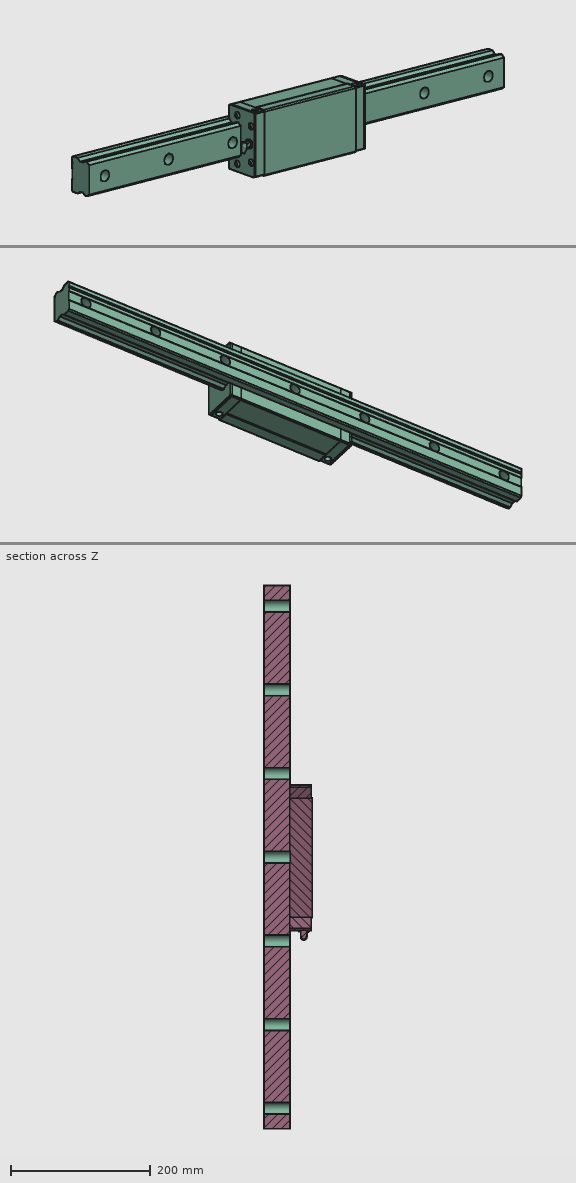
import cadquery as cq
import math

RAIL_LENGTH = 780.0
RAIL_HEIGHT = 38.0
RAIL_HALF_WIDTH = 54.0 / 2
RAIL_EDGE_CHAMFER = 2.1
SHOULDER_END = 12.5
GROOVE_START = 18.0
GROOVE_END = 24.0
GROOVE_INSET = 4.2
CROWN_START = 30.0
CROWN_INSET = 1.0
TOP_CORNER_RUN = 5.1
TOP_CORNER_INSET = 5.0
HOLE_DIAMETER = 16.0
HOLE_PITCH = 120.0
HOLE_COUNT = 7
FOOT_GROOVE_DEPTH = 1.0
MARK_GROOVE_WIDTH = 2.0
MARK_GROOVE_Z = 16.0

CARRIAGE_Y = -1.0
CARRIAGE_TOP = 70.0
SIDE_HALF_WIDTH = 97.5 / 2
SIDE_START = 14.0
FOOT_CHAMFER = 1.7
BLOCK_LENGTH = 171.5
BLOCK_HALF_WIDTH = 100.0 / 2
BLOCK_BAND_START = 50.0
BLOCK_TOP_CHAMFER = 2.0

PLATE_THICKNESS = 15.5
PLATE_TOP = 69.0
PLATE_TOP_CHAMFER = 1.5
SEAL_THICKNESS = 3.0

PORT_X = 58.0
PORT_DIAMETER = 9.0
PORT_DEPTH = 8.0
NIPPLE_FLANGE_DIAMETER = 14.0
NIPPLE_FLANGE_THICKNESS = 1.5
NIPPLE_NECK_DIAMETER = 9.0
NIPPLE_NECK_LENGTH = 8.5
NIPPLE_TILT = 75.0
NIPPLE_HEAD_DIAMETER = 8.5
NIPPLE_HEAD_LENGTH = 7.0
NIPPLE_TIP_DIAMETER = 4.2
NIPPLE_TIP_LENGTH = 8.5

SCREW_DIAMETER = 10.0
SCREW_HEIGHT = 2.0
SCREW_TOP_DIAMETER = 5.5
LOWER_SCREW_X, LOWER_SCREW_Z = 31.0, 37.0
UPPER_SCREW_X, UPPER_SCREW_Z = 62.0, 27.0

PLATE_START = BLOCK_LENGTH / 2
SEAL_START = PLATE_START + PLATE_THICKNESS
CARRIAGE_END = SEAL_START + SEAL_THICKNESS
FRONT_Y = CARRIAGE_Y - CARRIAGE_END
OUTWARD = cq.Vector(0, -1, 0)


def mirrored_prism(half_outline, y_start, y_end):
    """Extrude an (X, Z) half outline and its mirror image from y_start to y_end."""
    outline = half_outline + [(x, -z) for x, z in reversed(half_outline)]
    plane = cq.Workplane("XZ", origin=(0, y_start, 0))
    return plane.polyline(outline).close().extrude(y_start - y_end)


def rail_half_outline():
    return [
        (0, RAIL_HALF_WIDTH - RAIL_EDGE_CHAMFER),
        (RAIL_EDGE_CHAMFER, RAIL_HALF_WIDTH),
        (SHOULDER_END, RAIL_HALF_WIDTH),
        (GROOVE_START, RAIL_HALF_WIDTH - GROOVE_INSET),
        (GROOVE_END, RAIL_HALF_WIDTH - GROOVE_INSET),
        (CROWN_START, RAIL_HALF_WIDTH - CROWN_INSET),
        (RAIL_HEIGHT - TOP_CORNER_RUN, RAIL_HALF_WIDTH - CROWN_INSET),
        (RAIL_HEIGHT, RAIL_HALF_WIDTH - TOP_CORNER_INSET),
    ]


def rail_prism():
    return mirrored_prism(rail_half_outline(), -RAIL_LENGTH / 2, RAIL_LENGTH / 2)


def foot_groove(width, z):
    """Shallow full-length groove in the mounting face."""
    return cq.Workplane("XY").box(2 * FOOT_GROOVE_DEPTH, RAIL_LENGTH, width).translate((0, 0, z))


def make_rail():
    holes = (
        cq.Workplane("YZ")
        .rarray(HOLE_PITCH, 8, HOLE_COUNT, 1)
        .circle(HOLE_DIAMETER / 2)
        .extrude(RAIL_HEIGHT)
    )
    rail = rail_prism().cut(holes)
    rail = rail.cut(foot_groove(HOLE_DIAMETER, 0))
    return rail.cut(foot_groove(MARK_GROOVE_WIDTH, MARK_GROOVE_Z))


def carriage_prism(half_outline, y_start, y_end):
    """Prism fitted over the rail, with Y measured from the carriage middle."""
    prism = mirrored_prism(half_outline, CARRIAGE_Y + y_start, CARRIAGE_Y + y_end)
    return prism.cut(rail_prism())


def foot_half_outline():
    """Chamfered lower corner shared by every carriage part."""
    return [
        (SIDE_START - FOOT_CHAMFER, SIDE_HALF_WIDTH - FOOT_CHAMFER),
        (SIDE_START, SIDE_HALF_WIDTH),
    ]


def make_block():
    band_step = BLOCK_HALF_WIDTH - SIDE_HALF_WIDTH
    half_outline = foot_half_outline() + [
        (BLOCK_BAND_START, SIDE_HALF_WIDTH),
        (BLOCK_BAND_START + band_step, BLOCK_HALF_WIDTH),
        (CARRIAGE_TOP - BLOCK_TOP_CHAMFER, BLOCK_HALF_WIDTH),
        (CARRIAGE_TOP, BLOCK_HALF_WIDTH - BLOCK_TOP_CHAMFER),
    ]
    return carriage_prism(half_outline, -BLOCK_LENGTH / 2, BLOCK_LENGTH / 2)


def end_slab(y_start, y_end):
    """Slab with the end-plate outline, fitted over the rail."""
    half_outline = foot_half_outline() + [
        (PLATE_TOP - PLATE_TOP_CHAMFER, SIDE_HALF_WIDTH),
        (PLATE_TOP, SIDE_HALF_WIDTH - PLATE_TOP_CHAMFER),
    ]
    return carriage_prism(half_outline, y_start, y_end)


def make_end_plate(side):
    plate = end_slab(side * PLATE_START, side * SEAL_START)
    port_y = CARRIAGE_Y + side * (PLATE_START + PLATE_THICKNESS / 2)
    for face in (1, -1):
        port = (
            cq.Workplane("XY", origin=(PORT_X, port_y, face * SIDE_HALF_WIDTH))
            .circle(PORT_DIAMETER / 2)
            .extrude(-face * PORT_DEPTH)
        )
        plate = plate.cut(port)
    return plate


def make_end_seal(side):
    return end_slab(side * SEAL_START, side * CARRIAGE_END)


def add_screw_heads(seal):
    centers = [
        (x, face * z)
        for x, z in ((LOWER_SCREW_X, LOWER_SCREW_Z), (UPPER_SCREW_X, UPPER_SCREW_Z))
        for face in (1, -1)
    ]
    for x, z in centers:
        base = cq.Vector(x, FRONT_Y, z)
        head = cq.Solid.makeCone(SCREW_DIAMETER / 2, SCREW_TOP_DIAMETER / 2, SCREW_HEIGHT, base, OUTWARD)
        seal = seal.union(cq.Workplane(head))
    return seal


def make_nipple():
    """Elbow grease nipple: flange and neck along -Y, head tilted towards -Z."""
    base = cq.Workplane("XZ", origin=(PORT_X, FRONT_Y, 0))
    flange = base.circle(NIPPLE_FLANGE_DIAMETER / 2).extrude(NIPPLE_FLANGE_THICKNESS)
    neck = base.circle(NIPPLE_NECK_DIAMETER / 2).extrude(NIPPLE_NECK_LENGTH)
    tilt = math.radians(NIPPLE_TILT)
    axis = cq.Vector(0, -math.cos(tilt), -math.sin(tilt))
    elbow = cq.Vector(PORT_X, FRONT_Y - NIPPLE_NECK_LENGTH, 0)
    start = elbow - axis * (NIPPLE_HEAD_LENGTH / 2)
    head = cq.Solid.makeCylinder(NIPPLE_HEAD_DIAMETER / 2, NIPPLE_HEAD_LENGTH, start, axis)
    tip = cq.Solid.makeCone(
        NIPPLE_HEAD_DIAMETER / 2,
        NIPPLE_TIP_DIAMETER / 2,
        NIPPLE_TIP_LENGTH,
        start + axis * NIPPLE_HEAD_LENGTH,
        axis,
    )
    return flange.union(neck).union(cq.Workplane(head)).union(cq.Workplane(tip))


rail = make_rail()
block = make_block()
end_plates = [make_end_plate(side) for side in (1, -1)]
plain_seal = make_end_seal(1)
screwed_seal = add_screw_heads(make_end_seal(-1))
nipple = make_nipple()

result = cq.Compound.makeCompound(
    [
        rail.val(),
        block.val(),
        *[plate.val() for plate in end_plates],
        plain_seal.val(),
        screwed_seal.val(),
        nipple.val(),
    ]
)